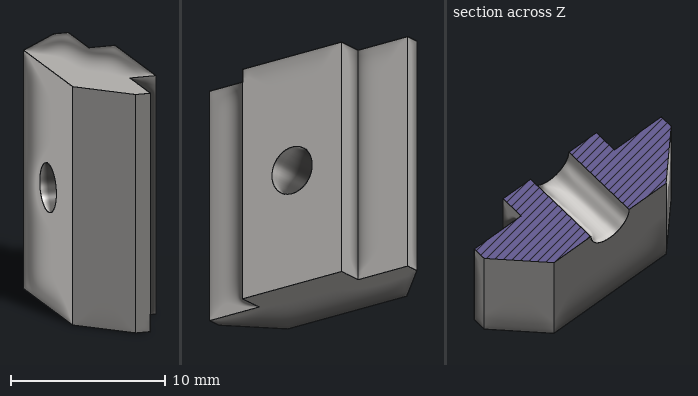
import cadquery as cq

width = 16.0
length = 16.0
thickness = 6.0
tongue_width = 8.0
tongue_height = 1.8
bevel = 3.2
hole_diameter = 3.25

shoulder_y = thickness - tongue_height
half_width = width / 2
half_tongue = tongue_width / 2
half_front = half_width - bevel


def nut_body():
    """T-shaped section with bevelled flanges, extruded along Z."""
    half_outline = [
        (0, 0),
        (half_front, 0),
        (half_width, bevel),
        (half_width, shoulder_y),
        (half_tongue, shoulder_y),
        (half_tongue, thickness),
        (0, thickness),
    ]
    return cq.Workplane("XY").polyline(half_outline).mirrorY().extrude(length)


def through_hole():
    """Round hole along Y through the centre of the front face."""
    return (
        cq.Workplane("XZ", origin=(0, 0, length / 2))
        .circle(hole_diameter / 2)
        .extrude(-thickness)
    )


result = nut_body().cut(through_hole())